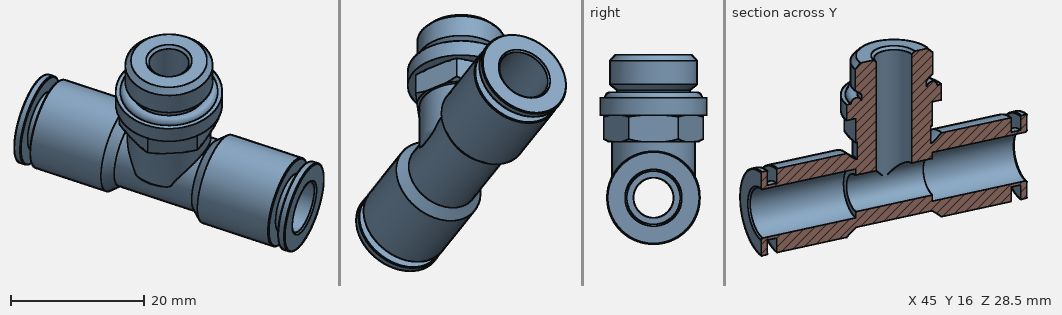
import cadquery as cq
import math

length = 45.0
total_height = 28.5
body_d = 14.0
tube_d = 11.35
release_neck_d = 9.2
disc_thickness = 1.15
body_outer_x = 19.85
body_inner_x = 8.0
cone_inner_x = 6.45
edge_chamfer = 0.15

bore_d = 6.0
socket_d = 8.0
socket_bottom_x = 6.5
socket_chamfer = 0.25
branch_bore_chamfer = 0.45

top_z = total_height - body_d / 2
thread_bottom_z = 17.0
groove_z = 16.15
collar_top_z = 15.05
collar_bottom_z = 12.38
hex_bottom_z = 8.4
stem_bottom_z = 0.55
stem_d = 12.5
stem_fillet = 0.9
collar_d = 16.0
thread_d = 13.15
thread_top_d = 11.45
groove_d = 11.0
top_chamfer_height = 0.9

hex_flats = 13.0
hex_bevel_r = 0.75
hex_bevel_height = 0.4
hex_top_bevel_r = 0.75
hex_top_bevel_height = 0.22

seal_outer_d = 14.65
seal_section_r = (seal_outer_d - groove_d) / 4
seal_centre_z = 14.95


def mirrored_outline(right_outline):
    """Complete a +X outline with its mirror image on the -X side."""
    left_outline = [(-x, radius) for x, radius in reversed(right_outline)]
    return left_outline + right_outline


def revolve_x(points):
    """Revolve a closed (x, radius) outline about the X axis."""
    return cq.Workplane("XY").polyline(points).close().revolve(360, (0, 0, 0), (1, 0, 0))


def revolve_z(points):
    """Revolve a closed (radius, z) outline about the Z axis."""
    return cq.Workplane("XZ").polyline(points).close().revolve(360, (0, 0, 0), (0, 1, 0))


def make_run():
    """Tube, conical shoulders, bodies and release discs, solid."""
    half_length = length / 2
    disc_inner_x = half_length - disc_thickness
    body_r = body_d / 2
    rim_r = body_r - edge_chamfer
    right_outline = [
        (cone_inner_x, tube_d / 2),
        (body_inner_x, body_r),
        (body_outer_x - edge_chamfer, body_r),
        (body_outer_x, rim_r),
        (body_outer_x, release_neck_d / 2),
        (disc_inner_x, release_neck_d / 2),
        (disc_inner_x, rim_r),
        (disc_inner_x + edge_chamfer, body_r),
        (half_length - edge_chamfer, body_r),
        (half_length, rim_r),
        (half_length, 0),
    ]
    return revolve_x(mirrored_outline(right_outline))


def make_hexagon():
    corner_d = hex_flats / math.cos(math.pi / 6)
    height = collar_bottom_z - hex_bottom_z
    prism = (
        cq.Workplane("XY", origin=(0, 0, hex_bottom_z))
        .transformed(rotate=(0, 0, 90))
        .polygon(6, corner_d)
        .extrude(height)
    )
    envelope = revolve_z([
        (0, hex_bottom_z),
        (corner_d / 2 - hex_bevel_r, hex_bottom_z),
        (corner_d / 2, hex_bottom_z + hex_bevel_height),
        (corner_d / 2, collar_bottom_z - hex_top_bevel_height),
        (corner_d / 2 - hex_top_bevel_r, collar_bottom_z),
        (0, collar_bottom_z),
    ])
    return prism.intersect(envelope)


def make_branch():
    """Stem, hexagon, collar, seal and threaded spigot, solid."""
    stem_and_spigot = revolve_z([
        (0, stem_bottom_z),
        (stem_d / 2, stem_bottom_z),
        (stem_d / 2, collar_bottom_z),
        (collar_d / 2, collar_bottom_z),
        (collar_d / 2, collar_top_z),
        (groove_d / 2, collar_top_z),
        (groove_d / 2, groove_z),
        (thread_d / 2, thread_bottom_z),
        (thread_d / 2, top_z - top_chamfer_height),
        (thread_top_d / 2, top_z),
        (0, top_z),
    ]).faces("<Z").edges().fillet(stem_fillet)
    seal_centre_r = seal_outer_d / 2 - seal_section_r
    seal = (
        cq.Workplane("XZ")
        .moveTo(seal_centre_r, seal_centre_z)
        .circle(seal_section_r)
        .revolve(360, (0, 0, 0), (0, 1, 0))
    )
    return stem_and_spigot.union(seal).union(make_hexagon())


def make_run_bore():
    """Cutter for the run: narrow bore, tube sockets and their mouth chamfers."""
    right_outline = [
        (socket_bottom_x, bore_d / 2),
        (socket_bottom_x, socket_d / 2),
        (length / 2 - socket_chamfer, socket_d / 2),
        (length / 2, socket_d / 2 + socket_chamfer),
        (length / 2, 0),
    ]
    return revolve_x(mirrored_outline(right_outline))


def make_branch_bore():
    """Cutter for the branch bore, from the run axis up to the chamfered mouth."""
    return revolve_z([
        (0, 0),
        (bore_d / 2, 0),
        (bore_d / 2, top_z - branch_bore_chamfer),
        (bore_d / 2 + branch_bore_chamfer, top_z),
        (0, top_z),
    ])


result = (
    make_run()
    .union(make_branch())
    .cut(make_run_bore())
    .cut(make_branch_bore())
)